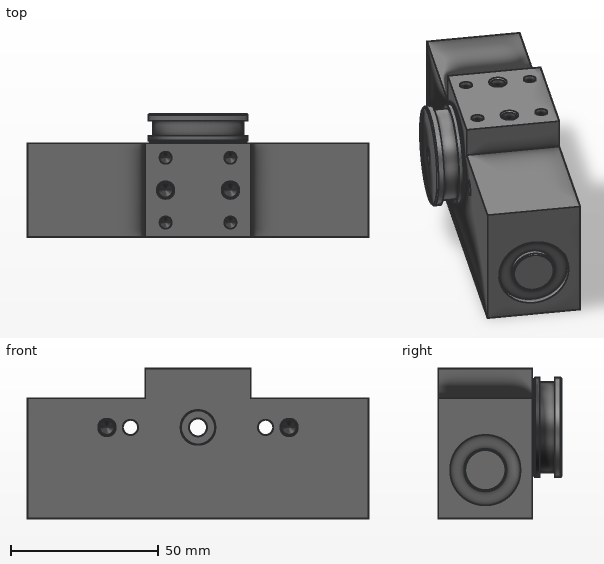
import cadquery as cq
import math

length = 116.0
depth = 32.0
shoulder_height = 41.0
pad_width = 36.0
total_height = 51.0

rotor_z = 31.0
shaft_diameter = 12.0
shaft_chamfer = 0.2
neck_diameter = 30.5
rotor_bore = 6.0
disc_diameter = 34.0
groove_diameter = 31.0
rotor_overhang = 10.0
disc_gap = 0.5
disc_chamfer = 0.5
rear_flange = 2.4
groove_width = 5.1
groove_wall_angle = 15.0

end_z = 16.5
recess_diameter = 24.0
recess_depth = 2.4
plug_diameter = 14.5
plug_chamfer = 0.5

through_diameter = 5.1
through_x = 23.0
front_tapped_x = 31.0

tapped_diameter = 5.0
tapped_mouth = 6.0
tapped_depth = 10.0

pad_hole_pitch = 22.0
dowel_diameter = 4.2
dowel_depth = 8.1

drill_point_angle = 118.0
front_y = -depth / 2
rear_y = depth / 2


def drill(diameter, straight_depth, mouth_diameter):
    """Blind hole cutter running down from the origin: chamfered mouth, straight wall, conical bottom."""
    radius = diameter / 2
    mouth_radius = mouth_diameter / 2
    mouth_depth = mouth_radius - radius
    point_depth = radius / math.tan(math.radians(drill_point_angle / 2))
    profile = cq.Workplane("XZ").moveTo(0, 0).lineTo(mouth_radius, 0)
    if mouth_depth > 0:
        profile = profile.lineTo(radius, -mouth_depth)
    profile = profile.lineTo(radius, -straight_depth).lineTo(0, -straight_depth - point_depth).close()
    return profile.revolve(360, (0, 0, 0), (0, 1, 0))


def cylinder_along_y(diameter, start_y, end_y, x=0.0):
    """Cylinder parallel to Y at the height of the rotor axis."""
    plane = cq.Plane(origin=(x, start_y, rotor_z), xDir=(1, 0, 0), normal=(0, 1, 0))
    return cq.Workplane(plane).circle(diameter / 2).extrude(end_y - start_y)


def make_end_recess(side):
    """Ring-shaped cutter in the end at side = -1 or +1, leaving the chamfered plug standing in it."""
    floor_x = side * (length / 2 - recess_depth)
    plane = cq.Plane(origin=(floor_x, 0, end_z), xDir=(0, 1, 0), normal=(side, 0, 0))
    recess = cq.Workplane(plane).circle(recess_diameter / 2).extrude(recess_depth)
    plug = cq.Workplane(plane).circle(plug_diameter / 2).extrude(recess_depth)
    plug = plug.faces(">X" if side > 0 else "<X").chamfer(plug_chamfer)
    return recess.cut(plug)


def make_housing():
    body = cq.Workplane("XY").box(length, depth, shoulder_height, centered=(True, True, False))
    pad = cq.Workplane("XY").box(pad_width, depth, total_height, centered=(True, True, False))
    body = body.union(pad)

    body = body.cut(cylinder_along_y(shaft_diameter, front_y, rear_y))

    for side in (-1, 1):
        body = body.cut(make_end_recess(side))

        body = body.cut(cylinder_along_y(through_diameter, front_y, rear_y, side * through_x))
        front_tapped = drill(tapped_diameter, tapped_depth, tapped_mouth)
        front_tapped = front_tapped.rotate((0, 0, 0), (1, 0, 0), 90)
        body = body.cut(front_tapped.translate((side * front_tapped_x, front_y, rotor_z)))

        hole_x = side * pad_hole_pitch / 2
        pad_tapped = drill(tapped_diameter, tapped_depth, tapped_mouth)
        body = body.cut(pad_tapped.translate((hole_x, 0, total_height)))
        for hole_y in (-pad_hole_pitch / 2, pad_hole_pitch / 2):
            dowel = drill(dowel_diameter, dowel_depth, dowel_diameter)
            body = body.cut(dowel.translate((hole_x, hole_y, total_height)))
    return body


def make_groove(start_y, end_y):
    """Ring-shaped cutter around the rotor axis, wider at its bottom than at the rim."""
    rim_radius = disc_diameter / 2
    bottom_radius = groove_diameter / 2
    undercut = (rim_radius - bottom_radius) * math.tan(math.radians(groove_wall_angle))
    plane = cq.Plane(origin=(0, 0, rotor_z), xDir=(1, 0, 0), normal=(0, 0, 1))
    profile = cq.Workplane(plane).polyline([
        (rim_radius, start_y),
        (rim_radius, end_y),
        (bottom_radius, end_y + undercut),
        (bottom_radius, start_y - undercut),
    ]).close()
    return profile.revolve(360, (0, 0, 0), (0, 1, 0))


def make_rotor():
    disc_start_y = rear_y + disc_gap
    disc_end_y = rear_y + rotor_overhang
    shaft = cylinder_along_y(shaft_diameter, front_y, rear_y).faces("<Y").chamfer(shaft_chamfer)
    neck = cylinder_along_y(neck_diameter, rear_y, disc_start_y)
    disc = cylinder_along_y(disc_diameter, disc_start_y, disc_end_y)
    disc = disc.faces("<Y or >Y").chamfer(disc_chamfer)
    groove_end_y = disc_end_y - rear_flange
    groove_start_y = groove_end_y - groove_width
    groove = make_groove(groove_start_y, groove_end_y)
    bore = cylinder_along_y(rotor_bore, front_y, disc_end_y)
    return shaft.union(neck).union(disc).cut(groove).cut(bore)


housing = make_housing()
rotor = make_rotor()
result = cq.Compound.makeCompound([housing.val(), rotor.val()])